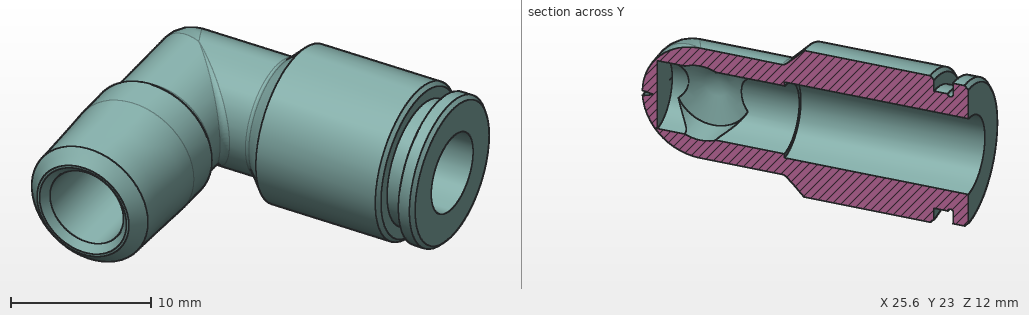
import cadquery as cq
import math

leg_radius = 9.0 / 2
leg_length = 6.5
outer_corner_radius = 2.5
inner_corner_radius = 0.5
foot_radius = 0.5

body_radius = 12.0 / 2
body_end = 18.05
body_chamfer = 0.3
spigot_radius = 9.6 / 2
groove_radius = 0.2
button_radius = 11.5 / 2
button_start = 19.5
button_end = 20.7
button_chamfer = 0.3

collar_radius = 9.9 / 2
collar_end = 9.65
port_end = 17.0
port_chamfer = 1.0
pipe_taper = 1.0 / 16

port_bore_radius = 6.0 / 2
port_countersink = 0.55
port_bore_top = 2.4
drill_tip_angle = math.radians(140.0)
passage_radius = 5.5 / 2
passage_overrun = 0.3
socket_radius = 6.15 / 2
socket_start = leg_length

foot_angle = math.radians(45.0)
foot_setback = foot_radius * math.tan(foot_angle / 2)
blend_start = leg_length - foot_setback


def shoulder_length(radius):
    """Length of the 45 degree shoulder that rises from a leg to the given radius."""
    return (radius - leg_radius) / math.tan(foot_angle)


def turned(profile):
    """Revolve a closed profile, drawn as (distance along +X, radius), about X."""
    return profile.close().revolve(360, (0, 0, 0), (1, 0, 0))


def along_port(solid):
    """Turn a solid built along +X so that it points along -Y."""
    return solid.rotate((0, 0, 0), (0, 0, 1), -90)


def blended_foot():
    """Start a turned profile: axis, leg end, then the arc that leads into the shoulder."""
    arc_mid = (
        blend_start + foot_radius * math.sin(foot_angle / 2),
        leg_radius + foot_radius * (1 - math.cos(foot_angle / 2)),
    )
    arc_end = (
        blend_start + foot_radius * math.sin(foot_angle),
        leg_radius + foot_radius * (1 - math.cos(foot_angle)),
    )
    return (
        cq.Workplane("XY")
        .moveTo(blend_start, 0)
        .lineTo(blend_start, leg_radius)
        .threePointArc(arc_mid, arc_end)
    )


def make_elbow_half(side):
    """Outer (side = 1) or inner (side = -1) half of the elbow with a sharp mitre edge."""
    reach = 2 * leg_radius
    half_leg = (
        cq.Workplane("YZ", origin=(-reach, 0, 0))
        .moveTo(0, -leg_radius)
        .threePointArc((side * leg_radius, 0), (0, leg_radius))
        .close()
        .extrude(reach + blend_start)
    )
    mitre_side = (
        cq.Workplane("XY")
        .polyline([(-reach, reach), (reach, reach), (reach, -reach)])
        .close()
        .extrude(reach, both=True)
    )
    x_leg = half_leg.intersect(mitre_side)
    y_leg = x_leg.rotate((0, 0, 0), (1, -1, 0), 180)
    return x_leg.union(y_leg, clean=False)


def round_mitre(half, corner_radius):
    """Round the mitre, the only elliptical edge of an elbow half."""
    return half.edges("%ELLIPSE").fillet(corner_radius)


def make_body():
    """Shoulder, body barrel, spigot with its groove, and release button."""
    groove_start = button_start - 2 * groove_radius
    groove_floor = (button_start - groove_radius, spigot_radius - groove_radius)
    return turned(
        blended_foot()
        .lineTo(leg_length + shoulder_length(body_radius), body_radius)
        .lineTo(body_end - body_chamfer, body_radius)
        .lineTo(body_end, body_radius - body_chamfer)
        .lineTo(body_end, spigot_radius)
        .lineTo(groove_start, spigot_radius)
        .threePointArc(groove_floor, (button_start, spigot_radius))
        .lineTo(button_start, button_radius)
        .lineTo(button_end - button_chamfer, button_radius)
        .lineTo(button_end, button_radius - button_chamfer)
        .lineTo(button_end, 0)
    )


def make_port():
    """Shoulder, plain collar and tapered thread envelope with its end chamfer."""
    taper_end = port_end - port_chamfer
    taper_end_radius = collar_radius - (taper_end - collar_end) * pipe_taper / 2
    return along_port(
        turned(
            blended_foot()
            .lineTo(leg_length + shoulder_length(collar_radius), collar_radius)
            .lineTo(collar_end, collar_radius)
            .lineTo(taper_end, taper_end_radius)
            .lineTo(port_end, taper_end_radius - port_chamfer)
            .lineTo(port_end, 0)
        )
    )


def make_port_bore():
    """Drilled bore with a conical tip and a countersunk mouth."""
    tip_depth = port_bore_radius / math.tan(drill_tip_angle / 2)
    return along_port(
        turned(
            cq.Workplane("XY")
            .moveTo(-port_bore_top - tip_depth, 0)
            .lineTo(-port_bore_top, port_bore_radius)
            .lineTo(port_end - port_countersink, port_bore_radius)
            .lineTo(port_end, port_bore_radius + port_countersink)
            .lineTo(port_end, 0)
        )
    )


def make_tube_bore():
    """Passage from the far wall of the port bore, widening to the tube socket."""
    passage_start = -port_bore_radius - passage_overrun
    return turned(
        cq.Workplane("XY")
        .moveTo(passage_start, 0)
        .lineTo(passage_start, passage_radius)
        .lineTo(socket_start, passage_radius)
        .lineTo(socket_start, socket_radius)
        .lineTo(button_end, socket_radius)
        .lineTo(button_end, 0)
    )


bores = make_port_bore().union(make_tube_bore(), clean=False)
outer_half = make_elbow_half(1).cut(bores, clean=False)
outer_half = round_mitre(outer_half, outer_corner_radius)

inner_half = make_elbow_half(-1).union(make_body(), clean=False).union(make_port(), clean=False)
inner_half = inner_half.cut(bores, clean=False)
inner_half = round_mitre(inner_half, inner_corner_radius)

result = inner_half.union(outer_half, clean=False).clean()